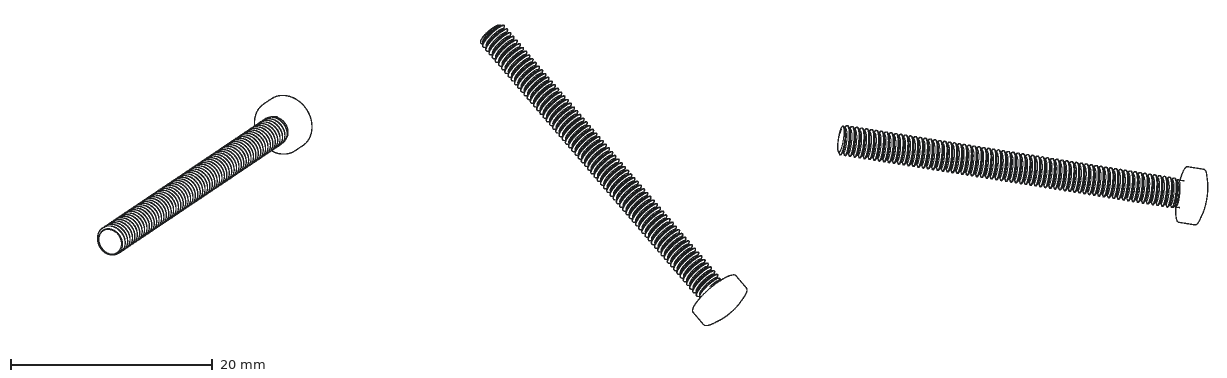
import cadquery as cq
import math

total_length = 37.38
head_diameter = 5.6
head_height = 2.4
dome_height = 0.6
dome_fillet = 0.15
underside_fillet = 0.07
neck_fillet = 0.1
shank_length = total_length - head_height

thread_diameter = 3.0
root_diameter = 2.45
shank_turns = 70
pitch = shank_length / shank_turns
crest_width = pitch / 8
root_width = pitch / 4
flank_width = (pitch - crest_width - root_width) / 2

neck_diameter = 2.7
neck_length = 0.5
runout_length = 0.6
tip_diameter = 2.7
tip_chamfer = (thread_diameter - tip_diameter) / 2

head_radius = head_diameter / 2
thread_radius = thread_diameter / 2
root_radius = root_diameter / 2
neck_radius = neck_diameter / 2
tip_radius = tip_diameter / 2

thread_start = 0.45
thread_turns = shank_turns + 2
trim_radius = thread_diameter

tip_direction = cq.Vector(0, -1, 0)


def revolve_about_y(points):
    """Solid of revolution from (radius, y) corners."""
    return cq.Workplane("XY").polyline(points).close().revolve(360, (0, 0), (0, 1))


def make_head():
    """Domed cylindrical head with rounded rims, and the plain neck blended into its underside."""
    dome_radius = (head_radius**2 + dome_height**2) / (2 * dome_height)
    mid_x = head_radius / 2
    mid_y = head_height - dome_radius + math.sqrt(dome_radius**2 - mid_x**2)
    head = (
        cq.Workplane("XY")
        .lineTo(head_radius, 0)
        .lineTo(head_radius, head_height - dome_height)
        .threePointArc((mid_x, mid_y), (0, head_height))
        .close()
        .revolve(360, (0, 0), (0, 1))
    )
    neck = cq.Workplane("XZ").circle(neck_radius).extrude(neck_length)
    smallest_circles = cq.selectors.RadiusNthSelector(0)
    head = head.union(neck).edges("%CIRCLE").edges(smallest_circles).edges(">Y").fillet(neck_fillet)
    head = head.faces("%CYLINDER").faces(">Y").edges("%CIRCLE").edges("<Y").fillet(underside_fillet)
    return head.faces("%CYLINDER").faces(">Y").edges("%CIRCLE").edges(">Y").fillet(dome_fillet)


def one_turn(radius, depth):
    """One turn of right-handed helix that starts at the given depth towards the tip."""
    center = cq.Vector(0, thread_start - depth, 0)
    return cq.Wire.makeHelix(pitch, pitch, radius, center, tip_direction)


def make_raw_thread():
    """Threaded rod bounded by helical strips, with one step of the helix at each end."""
    profile = [
        (root_radius, 0),
        (root_radius, root_width),
        (thread_radius, root_width + flank_width),
        (thread_radius, root_width + flank_width + crest_width),
        (root_radius, pitch),
    ]
    faces = []

    for turn in range(thread_turns):
        depth = turn * pitch
        for (r1, d1), (r2, d2) in zip(profile, profile[1:]):
            strip = cq.Face.makeRuledSurface(one_turn(r1, depth + d1), one_turn(r2, depth + d2))
            faces += strip.Faces()

    for depth in (0, thread_turns * pitch):
        top = cq.Vector(0, thread_start - depth, 0)
        bottom = top + tip_direction * pitch
        axis_line = cq.Wire.makePolygon([top, bottom])
        faces += cq.Face.makeRuledSurface(axis_line, one_turn(root_radius, depth)).Faces()
        step = [one_turn(r, depth + d).startPoint() for r, d in profile]
        faces.append(cq.Face.makeFromWires(cq.Wire.makePolygon([top, *step, bottom], close=True)))

    return cq.Workplane(cq.Solid.makeSolid(cq.Shell.makeShell(faces)))


def make_thread():
    """Thread trimmed to length, with a conical run-out and a chamfered tip."""
    length = shank_length - neck_length
    span = cq.Workplane("XZ", origin=(0, -neck_length, 0)).circle(trim_radius).extrude(length)
    runout_end = -neck_length - runout_length
    runout = revolve_about_y([
        (neck_radius, -neck_length),
        (trim_radius, -neck_length),
        (trim_radius, runout_end),
        (thread_radius, runout_end),
    ])
    chamfer_start = -shank_length + tip_chamfer
    chamfer = revolve_about_y([
        (tip_radius, -shank_length),
        (trim_radius, -shank_length),
        (trim_radius, chamfer_start),
        (thread_radius, chamfer_start),
    ])
    return make_raw_thread().intersect(span).cut(runout).cut(chamfer)


result = make_head().union(make_thread())